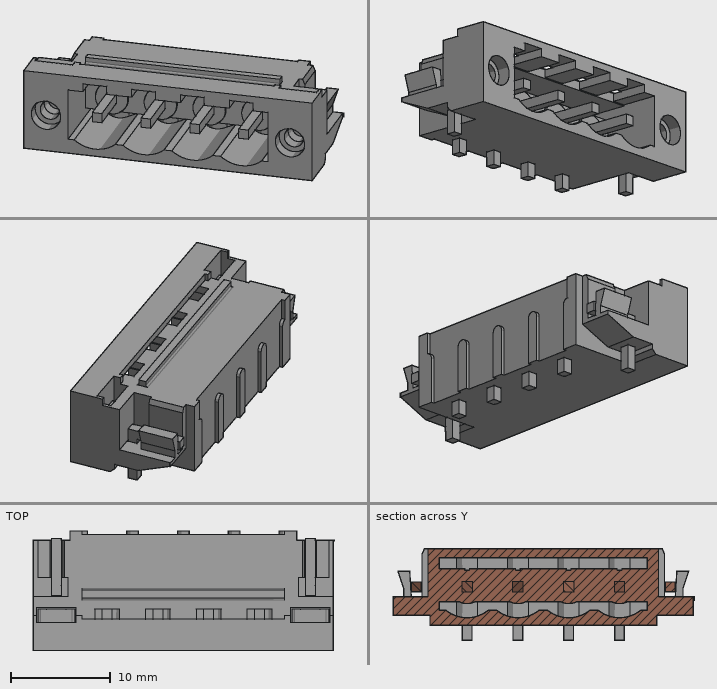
import cadquery as cq
import math


pole_count = 4
contact_span = 15.25
pitch = contact_span / (pole_count - 1)
axis_height = 3.85
pole_xs = [i * pitch - contact_span / 2 for i in range(pole_count)]
flank_x = contact_span / 2 + pitch

housing_width = 30.03
housing_depth = 12.0
front_height = 8.43
rear_height = 7.68
front_block_depth = 3.52

ear_front_y = 5.42
ear_rear_y = 11.05
ear_floor = 2.9
ear_tip_bottom = 2.47
ear_bottom = 1.0
ear_slope_front_y = 7.53
foot_rear_y = 4.88
foot_chamfer = 0.48
tip_nub_width = 0.1
tip_nub_depth = 0.1

core_width = 22.7
pocket_width = 23.07
pocket_rear_y = 7.32
shoulder_width = 24.28
shoulder_chamfer_width = 0.25
shoulder_chamfer_height = 0.55

post_foot_inner_x = 13.2
post_top_inner_x = 13.35
post_outer_x = 14.55
post_neck_x = 13.98
post_top = 5.42
post_neck_top = 3.7

cavity_width = 20.78
cavity_floor = 1.55
cavity_ceiling = 6.87
inner_ceiling = 6.75
cavity_back_y = 8.73
scallop_radius = 3.4
scallop_bottom = 0.78
key_width = 2.47
key_top = 7.7
key_depth = 4.15

bar_bottom = 2.35
bar_top = 5.7
bar_front_y = 6.33
boss_radius = 1.7
boss_front_y = 6.02
bar_slit_width = 0.45
column_width = 2.1
column_radius = 1.7

strip_length = 20.25
step_recess = 0.35
rib_front_y = 5.27
rib_rear_y = 6.05
rib_height = 0.63
rib_fillet = 0.18
rear_recess_depth = 0.35
spacer_radius = 0.6
spacer_top = 5.42

screw_hole_diameter = 3.05
screw_seat_depth = 1.4
nut_hole_radius = 1.0
nut_size = 3.7
nut_corner_radius = 0.27
nut_front_y = 2.8
nut_rear_y = 4.15
nut_slot_width = 3.95
nut_slot_rear_y = 4.35

wire = 1.0
leg_bottom = -1.5
pin_tip_y = 0.85
pin_leg_y = 10.0
anchor_leg_y = 6.02
anchor_rear_y = 11.23


def box(x0, x1, y0, y1, z0, z1):
    """Box between two opposite corners."""
    return cq.Workplane("XY").box(x1 - x0, y1 - y0, z1 - z0, centered=False).translate((x0, y0, z0))


def centred_box(x, width, y0, y1, z0, z1):
    """Box centred on x."""
    return box(x - width / 2, x + width / 2, y0, y1, z0, z1)


def along_y(x, z, radius, y0, y1):
    """Cylinder parallel to Y."""
    return cq.Workplane("XZ", origin=(x, y0, z)).circle(radius).extrude(y0 - y1)


def along_x(profile, width):
    """Extrude a (Y, Z) outline symmetrically about X = 0."""
    return profile.extrude(width / 2, both=True)


def make_outer_shell():
    """Front block with the two ears, and the central block behind it."""
    ends = along_x(
        cq.Workplane("YZ").polyline([
            (0, 0),
            (foot_rear_y - foot_chamfer, 0),
            (foot_rear_y, foot_chamfer),
            (foot_rear_y, ear_bottom),
            (ear_slope_front_y, ear_bottom),
            (ear_rear_y, ear_tip_bottom),
            (ear_rear_y, ear_floor),
            (ear_front_y, ear_floor),
            (ear_front_y, rear_height),
            (front_block_depth, rear_height),
            (front_block_depth, front_height),
            (0, front_height),
        ]).close(),
        housing_width,
    )
    core = centred_box(0, core_width, front_block_depth, housing_depth, 0, rear_height)
    pocket_wall = centred_box(0, pocket_width, ear_front_y, pocket_rear_y, ear_floor, rear_height)
    shoulder_x = shoulder_width / 2
    shoulder = (
        cq.Workplane("XZ", origin=(0, pocket_rear_y, 0)).polyline([
            (-shoulder_x, ear_floor),
            (shoulder_x, ear_floor),
            (shoulder_x, rear_height - shoulder_chamfer_height),
            (shoulder_x - shoulder_chamfer_width, rear_height),
            (shoulder_chamfer_width - shoulder_x, rear_height),
            (-shoulder_x, rear_height - shoulder_chamfer_height),
        ]).close().extrude(pocket_rear_y - ear_rear_y)
    )
    nub = box(housing_width / 2, housing_width / 2 + tip_nub_width,
              ear_rear_y - tip_nub_depth, ear_rear_y, ear_tip_bottom, ear_floor)
    return ends.union(core).union(pocket_wall).union(shoulder).union(nub)


def make_hooked_post(side):
    """Post standing on an ear, its upper half flaring outwards and its inner face leaning back."""
    return (
        cq.Workplane("XZ", origin=(0, pocket_rear_y, 0)).polyline([
            (side * post_foot_inner_x, ear_floor),
            (side * post_neck_x, ear_floor),
            (side * post_neck_x, post_neck_top),
            (side * post_outer_x, post_top),
            (side * post_top_inner_x, post_top),
        ]).close().extrude(pocket_rear_y - ear_rear_y)
    )


def make_roof_rib():
    """Coding rib on the rear roof, with a concave fillet along each side of its foot."""
    arc_offset = rib_fillet * (1 - math.sqrt(0.5))
    rib_top = rear_height + rib_height
    profile = (
        cq.Workplane("YZ")
        .moveTo(rib_front_y - rib_fillet, rear_height)
        .threePointArc((rib_front_y - arc_offset, rear_height + arc_offset),
                       (rib_front_y, rear_height + rib_fillet))
        .lineTo(rib_front_y, rib_top)
        .lineTo(rib_rear_y, rib_top)
        .lineTo(rib_rear_y, rear_height + rib_fillet)
        .threePointArc((rib_rear_y + arc_offset, rear_height + arc_offset),
                       (rib_rear_y + rib_fillet, rear_height))
        .close()
    )
    return along_x(profile, strip_length)


def make_cavity():
    """Mating cavity: scalloped floor and keyed ceiling, less the bar, bosses and columns at its back."""
    half = cavity_width / 2
    cavity = box(-half, half, 0, key_depth, cavity_floor, cavity_ceiling)
    cavity = cavity.union(box(-half, half, key_depth, cavity_back_y, cavity_floor, inner_ceiling))
    bar = box(-half, half, bar_front_y, cavity_back_y, bar_bottom, bar_top)
    bosses = cq.Workplane("XY")
    columns = cq.Workplane("XY")
    column_axis_y = cavity_back_y + math.sqrt(column_radius**2 - (column_width / 2) ** 2)
    below_floor = box(-housing_width, housing_width, 0, cavity_back_y, 0, cavity_floor)
    for x in pole_xs:
        scallop = along_y(x, scallop_bottom + scallop_radius, scallop_radius, 0, cavity_back_y)
        scallop = scallop.intersect(below_floor)
        key = centred_box(x, key_width, 0, key_depth, axis_height, key_top)
        cavity = cavity.union(scallop).union(key)
        bar = bar.cut(centred_box(x, bar_slit_width, bar_front_y, cavity_back_y, axis_height, bar_top))
        bosses = bosses.add(along_y(x, axis_height, boss_radius, boss_front_y, cavity_back_y))
        column = cq.Workplane("XY").center(x, column_axis_y).circle(column_radius).extrude(rear_height)
        columns = columns.add(column)
    for solid in [bar.val(), *bosses.vals(), *columns.vals()]:
        cavity = cavity.cut(cq.Workplane(solid))
    return cavity


def make_rear_recess():
    """Shallow recess over the rear face, interrupted by round-topped spacers between the poles."""
    front_y = housing_depth - rear_recess_depth
    recess = centred_box(0, strip_length, front_y, housing_depth, 0, rear_height)
    for i in range(pole_count + 1):
        x = (i - pole_count / 2) * pitch
        dome_z = spacer_top - spacer_radius
        recess = recess.cut(centred_box(x, 2 * spacer_radius, front_y, housing_depth, 0, dome_z))
        recess = recess.cut(along_y(x, dome_z, spacer_radius, front_y, housing_depth))
    return recess


def make_screw_opening(x):
    """Counterbored screw hole from the mating face into a slot that takes the nut from above."""
    counterbore = along_y(x, axis_height, screw_hole_diameter / 2, 0, screw_seat_depth)
    hole = along_y(x, axis_height, nut_hole_radius, screw_seat_depth, nut_front_y)
    slot_floor = axis_height - nut_size / 2
    slot = centred_box(x, nut_slot_width, nut_front_y, nut_slot_rear_y, slot_floor, front_height)
    return counterbore.union(hole).union(slot)


def make_nut(x):
    """Square nut with rounded corners."""
    body = centred_box(x, nut_size, nut_front_y, nut_rear_y,
                       axis_height - nut_size / 2, axis_height + nut_size / 2)
    hole = along_y(x, axis_height, nut_hole_radius, nut_front_y, nut_rear_y)
    return body.edges("|Y").fillet(nut_corner_radius).cut(hole)


def make_bent_wire(x, front_y, rear_y, leg_y):
    """Square wire lying along Y at the contact height, with a solder leg down at leg_y."""
    arm = centred_box(x, wire, front_y, rear_y, axis_height - wire / 2, axis_height + wire / 2)
    leg = centred_box(x, wire, leg_y - wire / 2, leg_y + wire / 2, leg_bottom, axis_height)
    return arm.union(leg).clean()


def make_pin(x):
    """Contact pin, bent down at its rear end."""
    return make_bent_wire(x, pin_tip_y, pin_leg_y + wire / 2, pin_leg_y)


def make_anchor(x):
    """Solder anchor, bent down at its front end."""
    return make_bent_wire(x, anchor_leg_y - wire / 2, anchor_rear_y, anchor_leg_y)


def make_housing(wires):
    """Housing with every opening, and a matching hole for each wire."""
    housing = make_outer_shell().union(make_roof_rib())
    for side in (-1, 1):
        housing = housing.union(make_hooked_post(side)).cut(make_screw_opening(side * flank_x))
    step_front_y = front_block_depth - step_recess
    step = centred_box(0, strip_length, step_front_y, front_block_depth, rear_height, front_height)
    housing = housing.cut(step).cut(make_cavity()).cut(make_rear_recess())
    for bent_wire in wires:
        housing = housing.cut(bent_wire)
    return housing.solids()


pins = [make_pin(x) for x in pole_xs]
anchors = [make_anchor(side * flank_x) for side in (-1, 1)]
nuts = [make_nut(side * flank_x) for side in (-1, 1)]
housing = make_housing(pins + anchors)

result = cq.Compound.makeCompound([
    housing.val(),
    *[pin.val() for pin in pins],
    *[anchor.val() for anchor in anchors],
    *[nut.val() for nut in nuts],
])